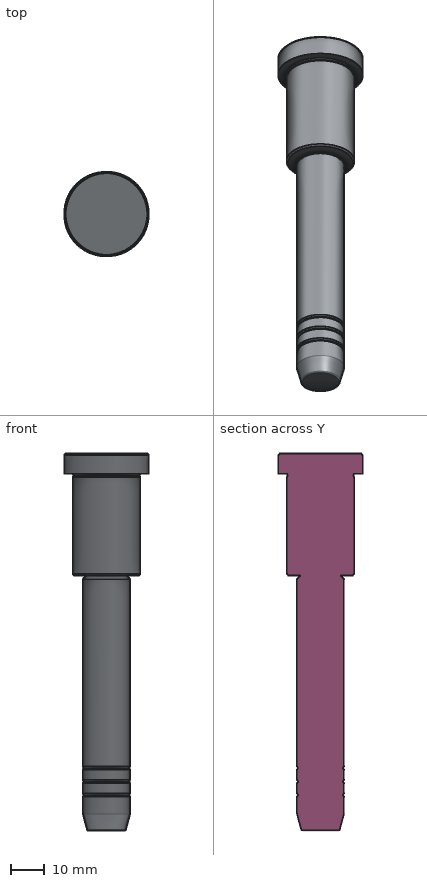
import cadquery as cq
import math

total_length = 111.0
head_height = 6.0
body_length = 30.0
head_bottom = total_length - head_height
body_bottom = head_bottom - body_length

head_radius = 25.0 / 2
body_radius = 20.0 / 2
shank_radius = 14.0 / 2

head_chamfer = 0.5
body_chamfer = 0.5
tip_fillet = 0.5

taper_height = 5.0
taper_angle = 15.0
tip_radius = shank_radius - taper_height * math.tan(math.radians(taper_angle))

neck_height = 1.0
neck_depth = 1.0

groove_width = 1.0
groove_depth = 0.3
groove_count = 3
groove_pitch = 4.0
lowest_groove_center = 10.4


def make_pin():
    """Solid of revolution: tapered shank, body and head."""
    profile = (
        cq.Workplane("XZ")
        .lineTo(tip_radius, 0)
        .lineTo(shank_radius, taper_height)
        .lineTo(shank_radius, body_bottom - neck_height)
        .lineTo(shank_radius - neck_depth, body_bottom)
        .lineTo(body_radius - body_chamfer, body_bottom)
        .lineTo(body_radius, body_bottom + body_chamfer)
        .lineTo(body_radius, head_bottom)
        .lineTo(head_radius, head_bottom)
        .lineTo(head_radius, total_length - head_chamfer)
        .lineTo(head_radius - head_chamfer, total_length)
        .lineTo(0, total_length)
        .close()
    )
    pin = profile.revolve(360, (0, 0), (0, 1))
    return pin.faces("<Z").edges().fillet(tip_fillet)


def ring_groove(radius, center_height):
    """Ring cutter with a V section, for a groove in a cylinder of the given radius."""
    half_width = groove_width / 2
    profile = (
        cq.Workplane("XZ")
        .moveTo(radius, center_height - half_width)
        .lineTo(radius - groove_depth, center_height)
        .lineTo(radius, center_height + half_width)
        .lineTo(radius + groove_depth, center_height + half_width)
        .lineTo(radius + groove_depth, center_height - half_width)
        .close()
    )
    return profile.revolve(360, (0, 0), (0, 1))


result = make_pin()

result = result.cut(ring_groove(body_radius, head_bottom - groove_width / 2))

for index in range(groove_count):
    groove_center = lowest_groove_center + index * groove_pitch
    result = result.cut(ring_groove(shank_radius, groove_center))